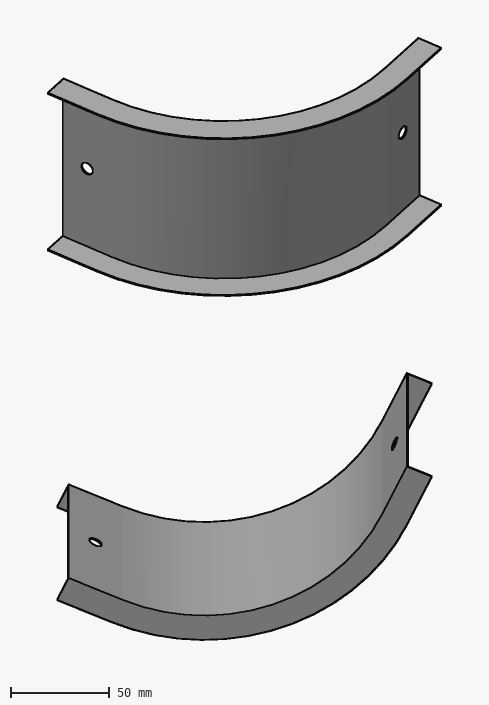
import cadquery as cq

height = 102.0
sheet = 0.8
flange_width = 14.0
straight_length = 30.0
inner_radius = 99.0
hole_diameter = 7.0
hole_from_end = 15.0

side = straight_length + inner_radius + flange_width
concave_face = side - flange_width
middle_height = height / 2


def bent_strip(width, thickness):
    """Flat-lying strip following the bend, growing outward from the concave face."""
    outer_edge = concave_face + width
    outer_radius = inner_radius + width
    return (
        cq.Workplane("XY")
        .moveTo(0, side - concave_face)
        .lineTo(straight_length, side - concave_face)
        .radiusArc((concave_face, side - straight_length), -inner_radius)
        .lineTo(concave_face, side)
        .lineTo(outer_edge, side)
        .lineTo(outer_edge, side - straight_length)
        .radiusArc((straight_length, side - outer_edge), outer_radius)
        .lineTo(0, side - outer_edge)
        .close()
        .extrude(thickness)
    )


def end_holes():
    """Cutters for the hole at mid-height in each straight end of the wall."""
    along_y = (
        cq.Workplane("XZ")
        .center(hole_from_end, middle_height)
        .circle(hole_diameter / 2)
        .extrude(-side / 2)
    )
    along_x = (
        cq.Workplane("YZ", origin=(side / 2, 0, 0))
        .center(side - hole_from_end, middle_height)
        .circle(hole_diameter / 2)
        .extrude(side / 2)
    )
    return along_y.union(along_x)


wall = bent_strip(sheet, height)
bottom_flange = bent_strip(flange_width, sheet)
top_flange = bottom_flange.translate((0, 0, height - sheet))

result = wall.union(bottom_flange).union(top_flange).cut(end_holes())